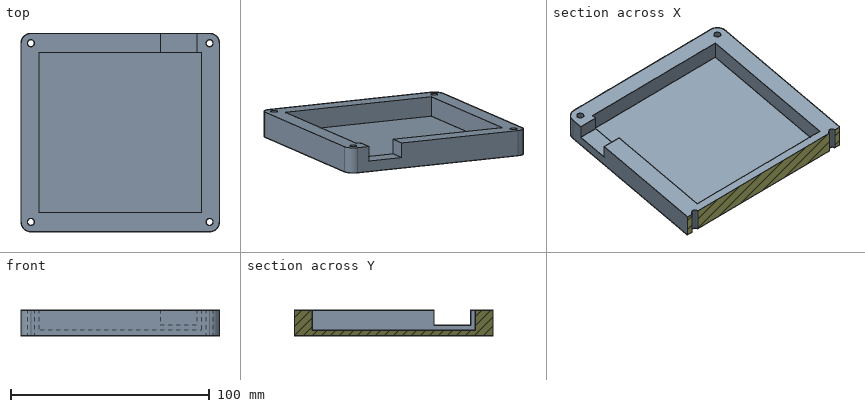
import cadquery as cq

SIDE = 100.0
HEIGHT = 13.0
CORNER_RADIUS = 5.0

POCKET_LENGTH_X = 82.0
POCKET_LENGTH_Y = 80.5
FLOOR_THICKNESS = 3.0

SCREW_HOLE_DIAMETER = 3.4
SCREW_SPACING = SIDE - 2 * CORNER_RADIUS

NOTCH_WIDTH = 18.4
NOTCH_CENTER_X = 29.5
NOTCH_DEPTH = 7.5


def make_body():
    """Square block with rounded vertical edges, standing on Z = 0."""
    block = cq.Workplane("XY").box(SIDE, SIDE, HEIGHT, centered=(True, True, False))
    return block.edges("|Z").fillet(CORNER_RADIUS)


def make_pocket():
    """Rectangular cavity from the floor up to the top face."""
    floor = cq.Workplane("XY").workplane(offset=FLOOR_THICKNESS)
    return floor.rect(POCKET_LENGTH_X, POCKET_LENGTH_Y).extrude(HEIGHT - FLOOR_THICKNESS)


def make_notch():
    """Slot cut down from the top of the +Y wall, from the pocket to the outside."""
    wall_thickness = (SIDE - POCKET_LENGTH_Y) / 2
    wall_center_y = SIDE / 2 - wall_thickness / 2
    sill = cq.Workplane("XY").workplane(offset=HEIGHT - NOTCH_DEPTH)
    return sill.center(NOTCH_CENTER_X, wall_center_y).rect(NOTCH_WIDTH, wall_thickness).extrude(NOTCH_DEPTH)


def make_screw_holes():
    """Four through holes, one in each corner."""
    corners = cq.Workplane("XY").rect(SCREW_SPACING, SCREW_SPACING, forConstruction=True).vertices()
    return corners.circle(SCREW_HOLE_DIAMETER / 2).extrude(HEIGHT)


result = make_body().cut(make_pocket()).cut(make_notch()).cut(make_screw_holes())